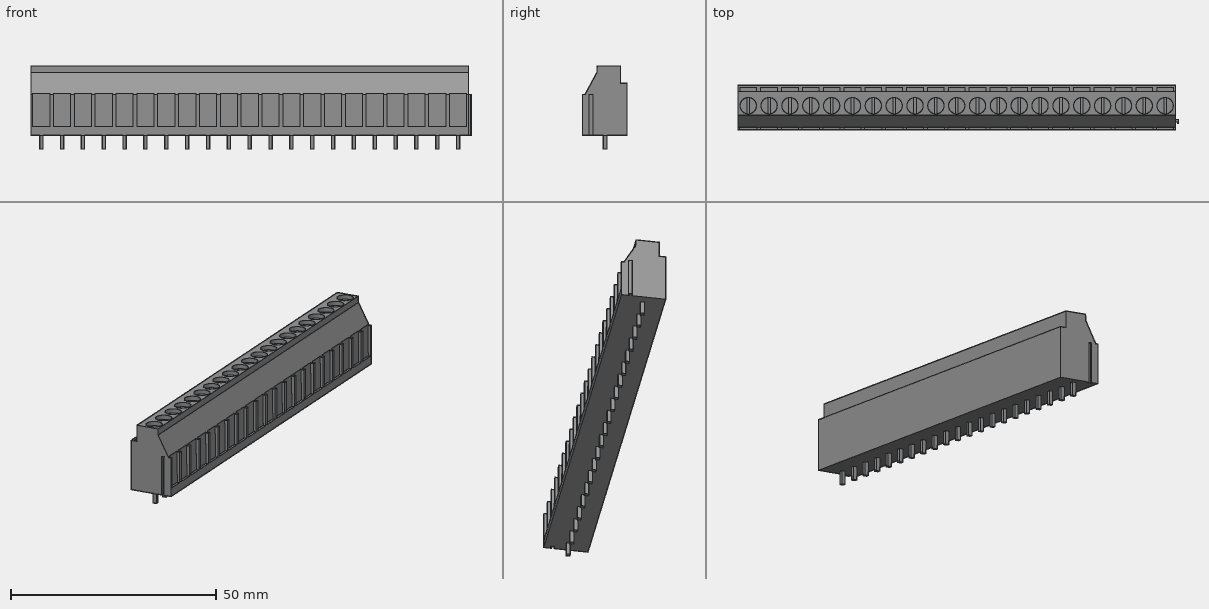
import cadquery as cq
import math

position_count = 21
tongue_reach = 0.8
overall_length = 107.3
body_length = overall_length - tongue_reach
pitch = body_length / position_count

body_depth = 11.0
body_height = 17.0
shoulder_height = 10.0
shoulder_depth = 0.6
slope_top_y = 3.5
top_front_height = 1.6
slope_top_z = body_height - top_front_height
top_front_draft = 2
top_front_y = slope_top_y + top_front_height * math.tan(math.radians(top_front_draft))
back_ledge_depth = 1.6
back_ledge_drop = 4.2
ledge_y = body_depth - back_ledge_depth
ledge_z = body_height - back_ledge_drop

panel_width = 4.2
panel_top_depth = 0.8
panel_bottom_depth = 0.6
panel_bottom = 2.1

ledge_pocket_width = 4.1
ledge_wall = 0.6
ledge_pocket_depth = 0.2

screw_y = 5.9
screw_diameter = 4.0
screw_recess = 1.1
slot_width = 0.6
slot_depth = 0.5

pin_y = 5.6
pin_width = 0.9
pin_thickness = 1.0
pin_length = 3.3

joint_back_y = 2.6
joint_neck_y = 1.9
joint_head_y = 1.6
joint_head_length = 0.3


def position_centres(y):
    return [((i + 0.5) * pitch, y) for i in range(position_count)]


def boxes(x_size, y_min, y_max, z_min, z_max):
    """One box per terminal position, centred on that position in X."""
    return (
        cq.Workplane("XY", origin=(0, 0, z_min))
        .pushPoints(position_centres((y_min + y_max) / 2))
        .rect(x_size, y_max - y_min)
        .extrude(z_max - z_min)
    )


def housing():
    outline = [
        (0, 0),
        (body_depth, 0),
        (body_depth, ledge_z),
        (ledge_y, ledge_z),
        (ledge_y, body_height),
        (top_front_y, body_height),
        (slope_top_y, slope_top_z),
        (shoulder_depth, shoulder_height),
        (0, shoulder_height),
    ]
    return cq.Workplane("YZ").polyline(outline).close().extrude(body_length)


def front_panels():
    """Recesses with a slightly leaning floor, cut upward until they break out of the slope."""
    slope_rate = (slope_top_z - shoulder_height) / (slope_top_y - shoulder_depth)
    panel_top = shoulder_height + slope_rate * (panel_top_depth - shoulder_depth)
    outline = [
        (0, panel_bottom),
        (panel_bottom_depth, panel_bottom),
        (panel_top_depth, panel_top),
        (0, panel_top),
    ]
    recess = cq.Workplane("YZ").polyline(outline).close().extrude(panel_width)
    recesses = cq.Workplane("XY")
    for x, y in position_centres(0):
        recesses = recesses.add(recess.translate((x - panel_width / 2, y, 0)))
    return recesses.combine()


def ledge_pockets():
    pocket_back_y = body_depth - ledge_wall
    return boxes(ledge_pocket_width, ledge_y, pocket_back_y, ledge_z - ledge_pocket_depth, ledge_z)


def well_cylinders(z_min, z_max):
    return (
        cq.Workplane("XY", origin=(0, 0, z_min))
        .pushPoints(position_centres(screw_y))
        .circle(screw_diameter / 2)
        .extrude(z_max - z_min)
    )


def screw_wells():
    return well_cylinders(body_height - screw_recess, body_height)


def screw_slots():
    """Slots across the screw heads, running in Y and ending on the well wall."""
    head_z = body_height - screw_recess
    y_min = screw_y - screw_diameter / 2
    y_max = screw_y + screw_diameter / 2
    blades = boxes(slot_width, y_min, y_max, head_z - slot_depth, head_z)
    return blades.intersect(well_cylinders(head_z - slot_depth, head_z))


def joint_hook(x):
    """Full-height hook standing on the plane at x: a neck, then a head that is wider toward the front."""
    head_x = x + tongue_reach - joint_head_length
    tip_x = x + tongue_reach
    outline = [
        (x, joint_back_y),
        (x, joint_neck_y),
        (head_x, joint_neck_y),
        (head_x, joint_head_y),
        (tip_x, joint_head_y),
        (tip_x, joint_back_y),
    ]
    return cq.Workplane("XY").polyline(outline).close().extrude(shoulder_height)


def pins():
    half_pin = pin_thickness / 2
    return boxes(pin_width, pin_y - half_pin, pin_y + half_pin, -pin_length, 0)


result = (
    housing()
    .cut(front_panels())
    .cut(ledge_pockets())
    .cut(screw_wells())
    .cut(screw_slots())
    .cut(joint_hook(0))
    .union(joint_hook(body_length))
    .union(pins())
)